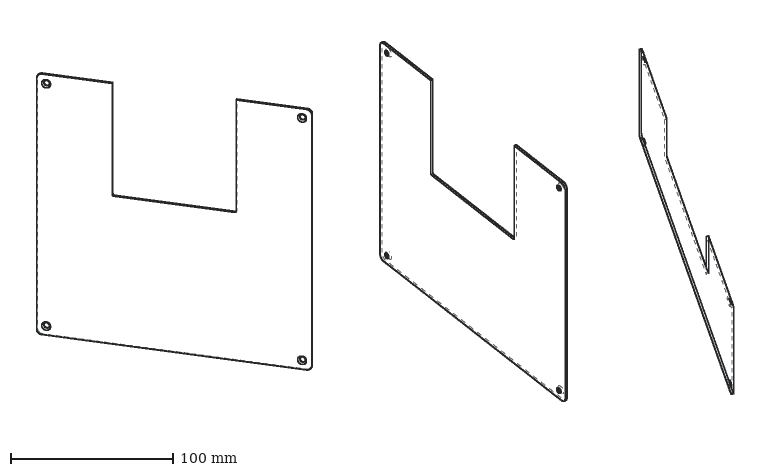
import cadquery as cq

side = 177.8
thickness = 1.58
corner_radius = 3.4

notch_width = 80.0
notch_depth = 76.8
notch_corner_radius = 1.0

hole_inset = 6.2
hole_diameter = 3.5
countersink_diameter = 5.7
countersink_angle = 90.0


def make_plate():
    return (
        cq.Workplane("XZ")
        .rect(side, side)
        .extrude(thickness / 2, both=True)
        .edges("|Y")
        .fillet(corner_radius)
    )


def make_notch():
    return (
        cq.Workplane("XY")
        .box(notch_width, 2 * thickness, 2 * notch_depth)
        .edges("|Y")
        .fillet(notch_corner_radius)
        .translate((0, 0, side / 2))
    )


def drill_corner_holes(plate):
    hole_spacing = side - 2 * hole_inset
    return (
        plate.faces("<Y")
        .workplane(origin=(0, 0, 0))
        .rect(hole_spacing, hole_spacing, forConstruction=True)
        .vertices()
        .cskHole(hole_diameter, countersink_diameter, countersink_angle)
    )


result = drill_corner_holes(make_plate()).cut(make_notch())